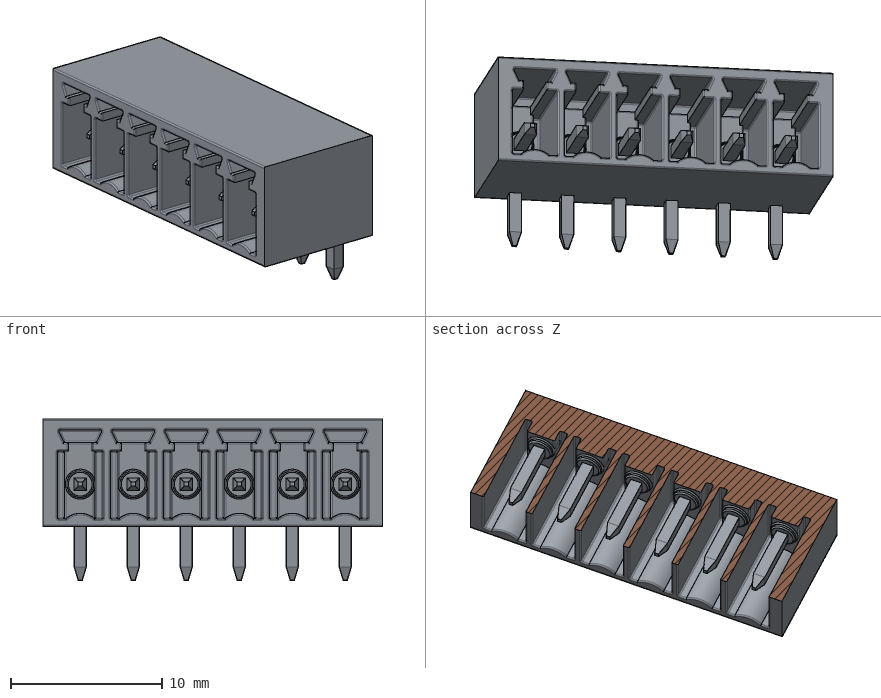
import cadquery as cq
import math


edge_radius = 0.1

body_width = 22.45
body_depth = 9.14
body_height = 7.12

cell_count = 6
cell_pitch = 3.5
cavity_depth = 6.95
slot_width = 3.03
slot_bottom = 0.52
slot_top = 4.98
neck_width = 1.53
dovetail_bottom = 5.57
dovetail_top = 6.4
dovetail_bottom_width = 2.15
dovetail_top_width = 2.95

rib_radius = 1.44
rib_top = 0.88

block_pitch = cell_pitch + 0.015
block_width = 2.0
block_length = 0.9

collar_radius = 1.77 / 2
collar_length = 0.34

pin_size = 0.8
pin_tip_size = 0.27
pin_taper_length = 0.88
pin_axis_z = 2.8
pin_tip_y = 1.0
pin_leg_y = body_depth - 1.23
pin_leg_drop = 3.55

rib_center_z = rib_top - rib_radius
rib_half_width = math.sqrt(rib_radius**2 - (slot_bottom - rib_center_z) ** 2)
block_front_y = cavity_depth - block_length


def front_plane(x, y):
    """Plane parallel to the front face, with its normal pointing to -Y."""
    return cq.Workplane("XZ", origin=(x, y, 0))


def make_housing():
    body = cq.Workplane("XY").box(body_width, body_depth, body_height, centered=(True, False, False))
    return body.edges("|X").fillet(edge_radius)


def make_passage():
    """Keyhole-shaped void: wide slot with a rib on its floor, narrow neck, dovetail on top."""
    slot = slot_width / 2
    neck = neck_width / 2
    dovetail_low = dovetail_bottom_width / 2
    dovetail_high = dovetail_top_width / 2
    passage = (
        front_plane(0, 0)
        .moveTo(-rib_half_width, slot_bottom)
        .threePointArc((0, rib_top), (rib_half_width, slot_bottom))
        .lineTo(slot, slot_bottom)
        .lineTo(slot, slot_top)
        .lineTo(neck, slot_top)
        .lineTo(neck, dovetail_bottom)
        .lineTo(dovetail_low, dovetail_bottom)
        .lineTo(dovetail_high, dovetail_top)
        .lineTo(-dovetail_high, dovetail_top)
        .lineTo(-dovetail_low, dovetail_bottom)
        .lineTo(-neck, dovetail_bottom)
        .lineTo(-neck, slot_top)
        .lineTo(-slot, slot_top)
        .lineTo(-slot, slot_bottom)
        .close()
        .extrude(-cavity_depth)
    )
    inside = cq.selectors.BoxSelector(
        (edge_radius - dovetail_high, 0, 0), (dovetail_high - edge_radius, cavity_depth, body_height)
    )
    return passage.edges("|Y").edges(cq.selectors.InverseSelector(inside)).fillet(edge_radius)


def make_block(x):
    """Block on the back wall, its top flush with the dovetail floor and its front edges rounded."""
    block = (
        front_plane(x, cavity_depth)
        .rect(block_width, dovetail_bottom, centered=(True, False))
        .extrude(block_length)
    )
    return block.faces("<Y").edges("|Z or >Z").fillet(edge_radius)


def make_collar():
    """Collar with a rounded front rim and a filleted foot, turned about the pin axis."""
    foot_radius = collar_radius + edge_radius
    rim_radius = collar_radius - edge_radius
    foot_y = block_front_y
    rim_y = block_front_y - collar_length
    profile = (
        cq.Workplane("XY")
        .moveTo(0, cavity_depth)
        .lineTo(foot_radius, cavity_depth)
        .lineTo(foot_radius, foot_y)
        .radiusArc((collar_radius, foot_y - edge_radius), edge_radius)
        .lineTo(collar_radius, rim_y + edge_radius)
        .radiusArc((rim_radius, rim_y), -edge_radius)
        .lineTo(0, rim_y)
        .close()
    )
    return profile.revolve(360, (0, 0, 0), (0, 1, 0)).translate((0, 0, pin_axis_z))


def round_mouth(cavity):
    """Flare the cavity mouth: round the rim in a slab around it and keep what the slab leaves open."""
    slab = cq.Workplane("XY").box(cell_pitch, cavity_depth, body_height, centered=(True, False, False))
    opened = slab.cut(cavity)
    rim = opened.faces("<Y").val().innerWires()[0].Edges()
    return slab.cut(opened.newObject(rim).fillet(edge_radius))


def make_cavity(block_x):
    """Complete void of one cell, with its block centred at block_x."""
    stepped = make_passage().cut(make_block(block_x))
    rounded = stepped.faces(">Y").edges().fillet(edge_radius)
    return round_mouth(rounded.cut(make_collar()))


def tapered_bar(start_plane, straight_length):
    """Square bar that ends in a truncated pyramid."""
    bar = start_plane.rect(pin_size, pin_size).extrude(straight_length)
    tip = (
        start_plane.workplane(offset=straight_length)
        .rect(pin_size, pin_size)
        .workplane(offset=pin_taper_length)
        .rect(pin_tip_size, pin_tip_size)
        .loft(ruled=True)
    )
    return bar.union(tip)


def make_pin():
    """Right-angle pin: a contact along Y and a solder leg pointing down."""
    heel_y = pin_leg_y + pin_size / 2
    contact_start = cq.Workplane("XZ", origin=(0, heel_y, pin_axis_z))
    contact = tapered_bar(contact_start, heel_y - pin_tip_y - pin_taper_length)
    leg_start = cq.Workplane("XY", origin=(0, pin_leg_y, pin_axis_z)).transformed(rotate=(180, 0, 0))
    leg = tapered_bar(leg_start, pin_axis_z + pin_leg_drop - pin_taper_length)
    return contact.union(leg)


pin = make_pin()
result = make_housing()
for index in range(cell_count):
    steps_from_middle = index - (cell_count - 1) / 2
    cell_offset = (steps_from_middle * cell_pitch, 0, 0)
    block_shift = steps_from_middle * (block_pitch - cell_pitch)
    result = result.cut(make_cavity(block_shift).translate(cell_offset))
    result = result.union(pin.translate(cell_offset))